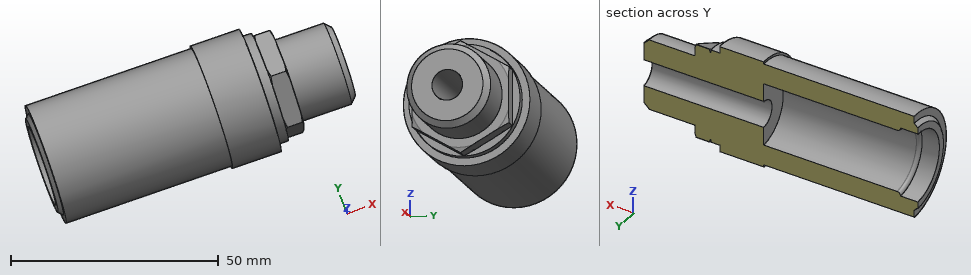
import cadquery as cq
import math

total_length = 76.95
nose_length = 1.0
flange_start = 43.25
flange_end = 55.6
hex_start = 58.1
hex_end = 62.7
spigot_chamfer = 1.55

nose_base_diameter = 25.85
body_diameter = 30.0
flange_diameter = 31.25
collar_diameter = 27.5
spigot_diameter = 20.7

hex_across_flats = 23.85
hex_across_corners = hex_across_flats / math.cos(math.pi / 6)
hex_chamfer_angle = math.radians(18)
hex_face_diameter = 25.0

mouth_diameter = 20.0
mouth_depth = 4.85
chamber_diameter = 18.0
chamber_end = flange_start
through_diameter = 7.55
shoulder_radius = (mouth_diameter - chamber_diameter) / 2


def cylinder(diameter, start, end):
    """Solid cylinder on the X axis between two stations."""
    return cq.Workplane("YZ", origin=(start, 0, 0)).circle(diameter / 2).extrude(end - start)


def make_hexagon():
    """Hexagon with corners on +Z and -Z, its corners trimmed by a cone at each end."""
    hexagon = (
        cq.Workplane("YZ", origin=(hex_start, 0, 0))
        .transformed(rotate=(0, 0, 90))
        .polygon(6, hex_across_corners)
        .extrude(hex_end - hex_start)
    )
    face_radius = hex_face_diameter / 2
    corner_radius = hex_across_corners / 2
    setback = (corner_radius - face_radius) * math.tan(hex_chamfer_angle)
    envelope = (
        cq.Workplane("XY")
        .moveTo(hex_start, 0)
        .lineTo(hex_start, face_radius)
        .lineTo(hex_start + setback, corner_radius)
        .lineTo(hex_end - setback, corner_radius)
        .lineTo(hex_end, face_radius)
        .lineTo(hex_end, 0)
        .close()
        .revolve(360, (0, 0, 0), (1, 0, 0))
    )
    return hexagon.intersect(envelope)


def make_bore():
    """Mouth, rounded shoulder, chamber and through hole as one solid of revolution."""
    return (
        cq.Workplane("XY")
        .lineTo(0, mouth_diameter / 2)
        .lineTo(mouth_depth, mouth_diameter / 2)
        .radiusArc((mouth_depth + shoulder_radius, chamber_diameter / 2), -shoulder_radius)
        .lineTo(chamber_end, chamber_diameter / 2)
        .lineTo(chamber_end, through_diameter / 2)
        .lineTo(total_length, through_diameter / 2)
        .lineTo(total_length, 0)
        .close()
        .revolve(360, (0, 0, 0), (1, 0, 0))
    )


nose_tip_radius = nose_base_diameter / 2 - nose_length
nose = (
    cq.Workplane("XY")
    .lineTo(0, nose_tip_radius)
    .lineTo(nose_length, nose_base_diameter / 2)
    .lineTo(nose_length, 0)
    .close()
    .revolve(360, (0, 0, 0), (1, 0, 0))
)
body = cylinder(body_diameter, nose_length, flange_start)
flange = cylinder(flange_diameter, flange_start, flange_end)
collar = cylinder(collar_diameter, flange_end, hex_start)
spigot = cylinder(spigot_diameter, hex_end, total_length).faces(">X").chamfer(spigot_chamfer)

outside = nose.union(body).union(flange).union(collar).union(make_hexagon()).union(spigot)
result = outside.cut(make_bore())